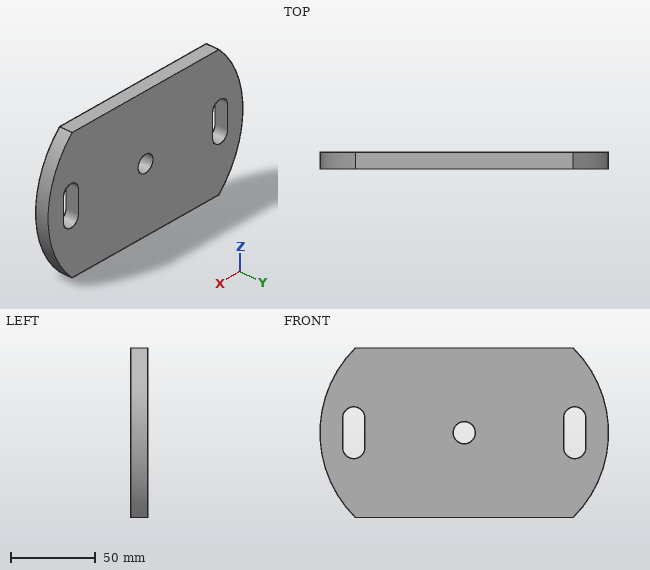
import cadquery as cq
import math

length = 170.0
height = 100.0
thickness = 10.0
end_radius = 70.0

hole_diameter = 13.0
slot_width = hole_diameter
slot_length = 30.5
slot_spacing = 130.0

half_length = length / 2
half_height = height / 2
arc_center_x = half_length - end_radius
corner_x = arc_center_x + math.sqrt(end_radius**2 - half_height**2)

back_face = cq.Workplane("XZ", origin=(0, thickness / 2, 0))


def plate():
    """Upright plate centred on the origin, with flat long edges and bowed ends."""
    return (
        back_face
        .moveTo(-corner_x, -half_height)
        .lineTo(corner_x, -half_height)
        .threePointArc((half_length, 0), (corner_x, half_height))
        .lineTo(-corner_x, half_height)
        .threePointArc((-half_length, 0), (-corner_x, -half_height))
        .close()
        .extrude(thickness)
    )


def center_hole():
    """Round through hole in the middle of the plate."""
    return back_face.circle(hole_diameter / 2).extrude(thickness)


def end_slots():
    """Pair of vertical through slots, one near each bowed end."""
    return (
        back_face
        .pushPoints([(-slot_spacing / 2, 0), (slot_spacing / 2, 0)])
        .slot2D(slot_length, slot_width, 90)
        .extrude(thickness)
    )


result = plate().cut(center_hole()).cut(end_slots())